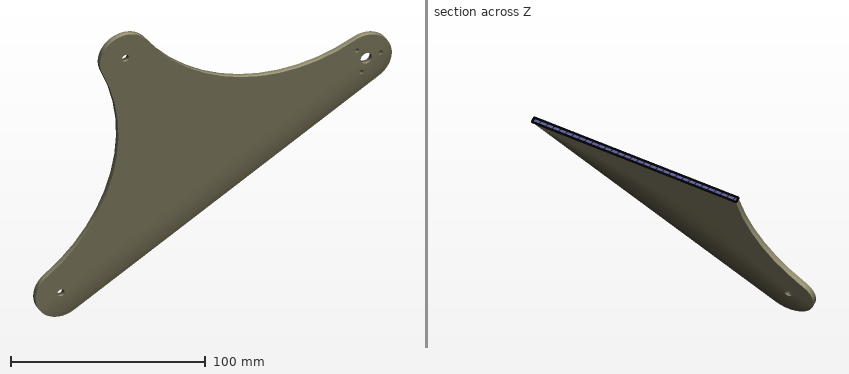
import cadquery as cq
import math

INCH = 25.4

thickness = INCH / 8
leg_length = 5.5 * INCH
boss_radius = 9 / 16 * INCH
scoop_radius = 3.7 * INCH
long_side_tilt = 30.0
corner_angle = 45.0

main_bore_diameter = 6.35
screw_hole_diameter = 2.38
screw_circle_radius = 8.1
screw_count = 3
first_screw_angle = 10.0
pivot_hole_diameter = 4.04


def offset(point, distance, angle):
    """Point at a distance from another, at an angle in degrees from +Y towards +Z."""
    a = math.radians(angle)
    return (point[0] + distance * math.cos(a), point[1] + distance * math.sin(a))


long_side_angle = 180.0 + long_side_tilt
short_side_angle = long_side_angle - corner_angle

bore_boss = (0.0, 0.0)
apex_boss = offset(bore_boss, leg_length, short_side_angle)
far_boss = offset(bore_boss, leg_length / math.cos(math.radians(corner_angle)), long_side_angle)

scoop_lean = math.degrees(math.acos(leg_length / 2 / (boss_radius + scoop_radius)))


def scoop_points(start, end):
    """Start, middle and end of the concave arc between two bosses."""
    angle = math.degrees(math.atan2(end[1] - start[1], end[0] - start[0]))
    centre = offset(start, boss_radius + scoop_radius, angle - scoop_lean)
    first = offset(start, boss_radius, angle - scoop_lean)
    middle = offset(centre, scoop_radius, angle + 90.0)
    last = offset(end, boss_radius, angle + 180.0 + scoop_lean)
    return first, middle, last


def plate():
    upper_start, upper_middle, upper_end = scoop_points(bore_boss, apex_boss)
    lower_start, lower_middle, lower_end = scoop_points(apex_boss, far_boss)

    below = long_side_angle + 90.0
    far_tangent = offset(far_boss, boss_radius, below)
    bore_tangent = offset(bore_boss, boss_radius, below)

    far_tip = offset(far_boss, boss_radius, long_side_angle + corner_angle / 2)
    bore_tip = offset(bore_boss, boss_radius, long_side_angle - 180.0 - corner_angle / 2)
    apex_tip = offset(apex_boss, boss_radius, below + 180.0)

    return (
        cq.Workplane("YZ")
        .moveTo(*bore_tangent)
        .threePointArc(bore_tip, upper_start)
        .threePointArc(upper_middle, upper_end)
        .threePointArc(apex_tip, lower_start)
        .threePointArc(lower_middle, lower_end)
        .threePointArc(far_tip, far_tangent)
        .close()
        .extrude(thickness)
    )


def drill(body, centres, diameter):
    cutters = cq.Workplane("YZ").pushPoints(centres).circle(diameter / 2).extrude(thickness)
    return body.cut(cutters)


screw_step = 360.0 / screw_count
screw_centres = [
    offset(bore_boss, screw_circle_radius, first_screw_angle + i * screw_step)
    for i in range(screw_count)
]

result = plate()
result = drill(result, [bore_boss], main_bore_diameter)
result = drill(result, screw_centres, screw_hole_diameter)
result = drill(result, [apex_boss, far_boss], pivot_hole_diameter)